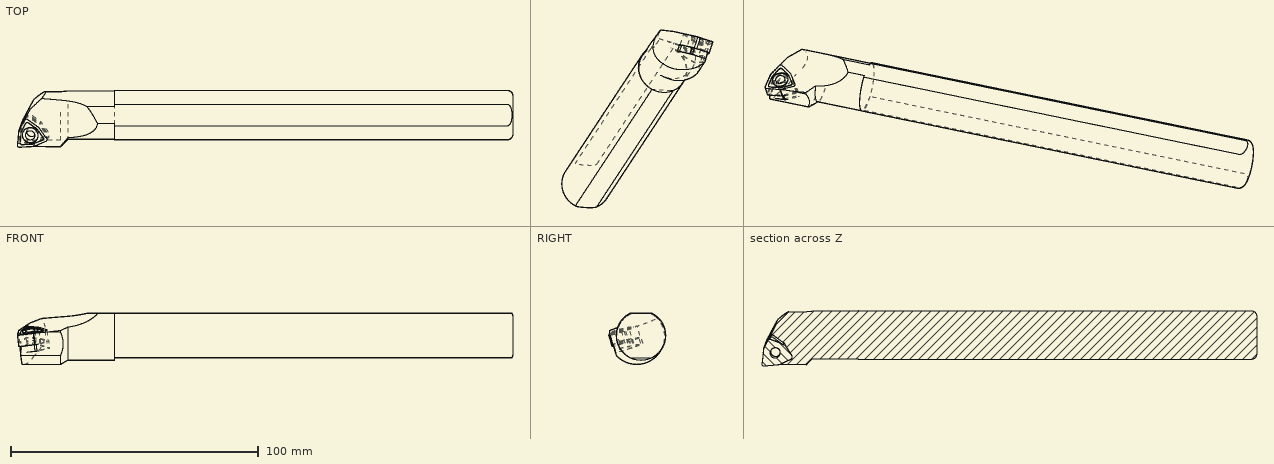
import cadquery as cq
import math

bar_length = 200.0
shank_radius = 10.0
shank_start = 39.2
flat_height = 9.0
end_round_radius = 2.4
neck_radius = 9.8
neck_drop = 0.2
neck_start = 20.4

head_radius = 11.2
head_offset = 1.8
head_taper_length = 3.0
head_margin = 4.0

tip_reach = 13.0
axial_rake = 6.0
radial_rake = 16.5

front_wall = 0.5
end_wall = 0.4
end_wall_top = 6.8
side_wall_corner = (5.2, 16.2)
wall_corner_radius = 3.0
side_wall_end = (11.2, 22.2)
plan_reach = 28.0
head_depth = 24.0
clear_height = 16.0
scoop_start = 20.4
scoop_radius = 32.0
scoop_end = 44.0

insert_inradius = 4.8
insert_thickness = 4.8
insert_hole_diameter = 3.8
corner_radius = 0.8
nose_angle = 80.0
nose_count = 3
tip_direction = 225.0
pad_thickness = 2.8
pad_inset = 0.4
seat_gap = 0.2
land_width = 1.0
boss_radius = 3.2
chip_groove_depth = 0.3

nose_distance = insert_inradius / math.sin(math.radians(nose_angle / 2))
nose_arc_distance = corner_radius / math.sin(math.radians(nose_angle / 2))
nose_rounding_loss = nose_arc_distance * math.sqrt(0.5) - corner_radius
insert_centre = nose_distance * math.sqrt(0.5) - nose_rounding_loss


def tilt_to_seat(shape):
    """Carry a shape from the flat seat frame to the tilted cutting tip."""
    return (
        shape.rotate((0, 0, 0), (0, 1, 0), -axial_rake)
        .rotate((0, 0, 0), (1, 0, 0), radial_rake)
        .translate((0, -tip_reach, 0))
    )


def trigon_prism(inradius, bottom, height):
    """Three rounded corners joined by sides that bend at their middle."""
    half_pitch = 180 / nose_count
    corner_distance = inradius / math.sin(math.radians(nose_angle / 2))
    bend_distance = inradius / math.cos(math.radians(half_pitch - (90 - nose_angle / 2)))
    points = []
    for corner in range(nose_count):
        corner_angle = math.radians(tip_direction + 2 * half_pitch * corner)
        bend_angle = corner_angle + math.radians(half_pitch)
        for distance, angle in ((corner_distance, corner_angle), (bend_distance, bend_angle)):
            points.append((distance * math.cos(angle), distance * math.sin(angle)))
    prism = cq.Workplane("XY").polyline(points).close().extrude(height)
    for corner in points[::2]:
        near_corner = cq.selectors.NearestToPointSelector((corner[0], corner[1], height / 2))
        prism = prism.edges("|Z").edges(near_corner).fillet(corner_radius)
    return prism.translate((insert_centre, insert_centre, bottom))


def make_shank():
    length = bar_length - shank_start
    shank = (
        cq.Workplane("YZ", origin=(shank_start, 0, 0))
        .circle(shank_radius)
        .extrude(length)
        .faces(">X")
        .edges()
        .fillet(end_round_radius)
    )
    between_flats = (
        cq.Workplane("YZ", origin=(shank_start, 0, 0))
        .rect(2 * shank_radius, 2 * flat_height)
        .extrude(length)
    )
    return shank.intersect(between_flats)


def make_neck():
    neck = (
        cq.Workplane("YZ", origin=(neck_start, 0, 0))
        .center(0, -neck_drop)
        .circle(neck_radius)
        .extrude(shank_start - neck_start)
    )
    above_flat = (
        cq.Workplane("XY", origin=(0, 0, flat_height))
        .rect(2 * bar_length, 2 * shank_radius)
        .extrude(clear_height)
    )
    return neck.cut(above_flat)


def make_head():
    taper_start = neck_start - head_taper_length
    tilt = math.radians(radial_rake)
    centre_y = -head_offset * math.cos(tilt)
    centre_z = -head_offset * math.sin(tilt)
    cylinder = (
        cq.Workplane("YZ", origin=(-head_margin, 0, 0))
        .center(centre_y, centre_z)
        .circle(head_radius)
        .extrude(head_margin + taper_start)
    )
    taper = (
        cq.Workplane("YZ", origin=(taper_start, 0, 0))
        .center(centre_y, centre_z)
        .circle(head_radius)
        .workplane(offset=head_taper_length)
        .center(-centre_y, -neck_drop - centre_z)
        .circle(neck_radius)
        .loft(ruled=True)
    )
    return cylinder.union(taper)


def make_wall_cutter():
    """Everything in front of and beside the tilted walls of the head."""
    middle_height = (head_depth + clear_height) / 2
    plan = (
        cq.Workplane("XY")
        .polyline([
            (end_wall, front_wall),
            (end_wall, end_wall_top),
            side_wall_corner,
            side_wall_end,
            (side_wall_end[0], plan_reach),
            (-plan_reach, plan_reach),
            (-plan_reach, -plan_reach),
            (plan_reach, -plan_reach),
            (plan_reach, front_wall),
        ])
        .close()
        .extrude(head_depth + clear_height)
        .edges(cq.selectors.NearestToPointSelector((end_wall, end_wall_top, middle_height)))
        .fillet(wall_corner_radius)
    )
    return tilt_to_seat(plan.translate((0, 0, -head_depth)))


def make_face_cutter():
    """Flat top face of the head, running out through a round scoop."""
    run = scoop_end - scoop_start
    rise = scoop_radius - math.sqrt(scoop_radius**2 - run**2)
    half_run = run / 2
    half_rise = scoop_radius - math.sqrt(scoop_radius**2 - half_run**2)
    profile = (
        cq.Workplane("XZ")
        .moveTo(-plan_reach, 0)
        .lineTo(scoop_start, 0)
        .threePointArc((scoop_start + half_run, half_rise), (scoop_end, rise))
        .lineTo(scoop_end, clear_height)
        .lineTo(-plan_reach, clear_height)
        .close()
        .extrude(plan_reach, both=True)
    )
    return tilt_to_seat(profile)


def make_pocket():
    """Pocket for the insert, with a gap round the pad left standing below it."""
    pad_bottom = -insert_thickness - pad_thickness
    insert_room = trigon_prism(insert_inradius, -insert_thickness, clear_height)
    pad_room = trigon_prism(insert_inradius + seat_gap, pad_bottom, pad_thickness)
    pad = trigon_prism(insert_inradius - pad_inset, pad_bottom, pad_thickness)
    return tilt_to_seat(insert_room.union(pad_room.cut(pad)))


def make_holder():
    front = make_head().union(make_neck()).cut(make_wall_cutter()).cut(make_face_cutter())
    return front.union(make_shank()).cut(make_pocket())


def make_insert():
    insert = trigon_prism(insert_inradius, -insert_thickness, insert_thickness)
    groove = trigon_prism(insert_inradius - land_width, -chip_groove_depth, chip_groove_depth)
    boss = (
        cq.Workplane("XY").center(insert_centre, insert_centre).circle(boss_radius)
        .extrude(-chip_groove_depth)
    )
    hole = (
        cq.Workplane("XY").center(insert_centre, insert_centre).circle(insert_hole_diameter / 2)
        .extrude(-insert_thickness)
    )
    return tilt_to_seat(insert.cut(groove.cut(boss)).cut(hole))


holder = make_holder()
insert = make_insert()
result = cq.Compound.makeCompound([holder.solids().val(), insert.solids().val()])